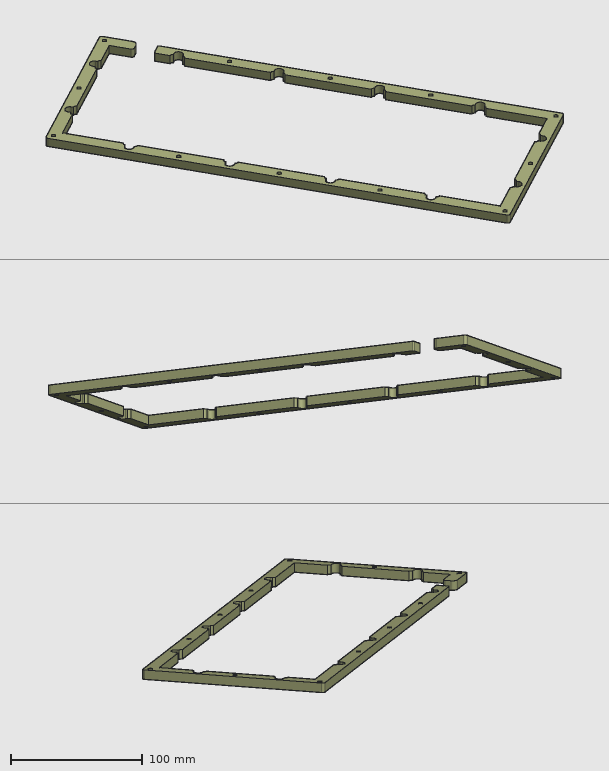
import cadquery as cq

LENGTH = 369.06
WIDTH = 145.23
THICKNESS = 7.5
BAR_WIDTH = 10.5
CORNER_RADIUS = 2.0

TAB_LENGTH = 29.8
GAP_WIDTH = 16.3
TAB_OUTER_RADIUS = 4.0
TAB_INNER_RADIUS = 2.0
BAR_END_RADIUS = 1.0

NOTCH_RADIUS = 3.65
LONG_BAR_NOTCH_DEPTH = 7.1
SHORT_BAR_NOTCH_DEPTH = 7.5
NOTCH_LIP_RADIUS = 2.0
LONG_BAR_NOTCH_PITCH = 80.0
LONG_BAR_NOTCH_COUNT = 4
SHORT_BAR_NOTCH_Y = (35.0, -30.0)

HOLE_DIAMETER = 3.2
HOLE_EDGE_DISTANCE = 5.0
HOLE_PITCH = LONG_BAR_NOTCH_PITCH

HALF_LENGTH = LENGTH / 2
HALF_WIDTH = WIDTH / 2
INNER_X = HALF_LENGTH - BAR_WIDTH
INNER_Y = HALF_WIDTH - BAR_WIDTH
HOLE_X = HALF_LENGTH - HOLE_EDGE_DISTANCE
HOLE_Y = HALF_WIDTH - HOLE_EDGE_DISTANCE


def make_frame():
    outer = cq.Workplane("XY").rect(LENGTH, WIDTH).extrude(THICKNESS)
    outer = outer.edges("|Z").fillet(CORNER_RADIUS)
    opening = cq.Workplane("XY").rect(2 * INNER_X, 2 * INNER_Y).extrude(THICKNESS)
    return outer.cut(opening)


def cut_gap(frame):
    """Break the +Y bar, leaving a short tab at the -X corner, and round the ends."""
    tab_end_x = -HALF_LENGTH + TAB_LENGTH
    bar_end_x = tab_end_x + GAP_WIDTH
    gap = (
        cq.Workplane("XY")
        .box(GAP_WIDTH, BAR_WIDTH, THICKNESS, centered=False)
        .translate((tab_end_x, INNER_Y, 0))
    )
    frame = frame.cut(gap)
    rounded_ends = (
        (tab_end_x, HALF_WIDTH, TAB_OUTER_RADIUS),
        (tab_end_x, INNER_Y, TAB_INNER_RADIUS),
        (bar_end_x, HALF_WIDTH, BAR_END_RADIUS),
        (bar_end_x, INNER_Y, BAR_END_RADIUS),
    )
    for x, y, radius in rounded_ends:
        corner = cq.selectors.NearestToPointSelector((x, y, THICKNESS / 2))
        frame = frame.edges("|Z").edges(corner).fillet(radius)
    return frame


def make_notch(depth):
    """Round-bottomed notch cutter entering at Y = 0, with lips rounded onto that edge."""
    half_mouth = NOTCH_RADIUS + NOTCH_LIP_RADIUS
    arc_centre_y = depth - NOTCH_RADIUS
    return (
        cq.Workplane("XY")
        .moveTo(-half_mouth, 0)
        .radiusArc((-NOTCH_RADIUS, NOTCH_LIP_RADIUS), NOTCH_LIP_RADIUS)
        .lineTo(-NOTCH_RADIUS, arc_centre_y)
        .threePointArc((0, depth), (NOTCH_RADIUS, arc_centre_y))
        .lineTo(NOTCH_RADIUS, NOTCH_LIP_RADIUS)
        .radiusArc((half_mouth, 0), NOTCH_LIP_RADIUS)
        .close()
        .extrude(THICKNESS)
    )


def place_notch(notch, angle, x, y):
    return notch.rotate((0, 0, 0), (0, 0, 1), angle).translate((x, y, 0))


def cut_notches(frame):
    long_bar_notch = make_notch(LONG_BAR_NOTCH_DEPTH)
    first_x = -LONG_BAR_NOTCH_PITCH * (LONG_BAR_NOTCH_COUNT - 1) / 2
    for index in range(LONG_BAR_NOTCH_COUNT):
        x = first_x + index * LONG_BAR_NOTCH_PITCH
        frame = frame.cut(place_notch(long_bar_notch, 0, x, INNER_Y))
        frame = frame.cut(place_notch(long_bar_notch, 180, x, -INNER_Y))

    short_bar_notch = make_notch(SHORT_BAR_NOTCH_DEPTH)
    for y in SHORT_BAR_NOTCH_Y:
        frame = frame.cut(place_notch(short_bar_notch, 90, -INNER_X, y))
        frame = frame.cut(place_notch(short_bar_notch, -90, INNER_X, y))
    return frame


def cut_holes(frame):
    long_bar_points = [
        (x, y)
        for x in (-HOLE_X, -HOLE_PITCH, 0, HOLE_PITCH, HOLE_X)
        for y in (-HOLE_Y, HOLE_Y)
    ]
    short_bar_points = [(-HOLE_X, 0), (HOLE_X, 0)]
    holes = (
        cq.Workplane("XY")
        .pushPoints(long_bar_points + short_bar_points)
        .circle(HOLE_DIAMETER / 2)
        .extrude(THICKNESS)
    )
    return frame.cut(holes)


result = cut_holes(cut_notches(cut_gap(make_frame())))